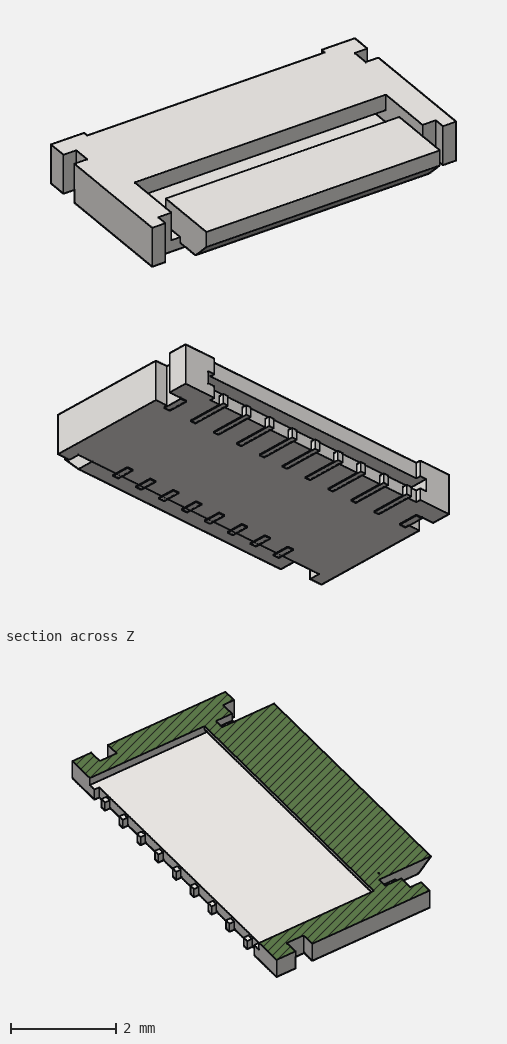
import cadquery as cq


body_length = 3.53
body_width = 6.9
top_z = 0.9
solder_standoff = 0.02

recess_depth = 0.11
recess_width = 5.39
slot_floor_z = 0.28
slot_top_z = 0.55

notch_start_x = 0.44
notch_end_x = 0.82
notch_depth = 0.29

pocket_start_x = 2.0
pocket_width = 5.7
mouth_x = 3.28
mouth_width = 6.3

rod_radius = 0.14
rod_x = 2.775
rod_seating = 0.005
lever_end_x = 4.19
lever_width = 5.3
lever_bottom_z = 0.15
lever_top_z = 0.88
lever_tip_z = 0.54
lever_bevel_x = 3.81

pitch = 0.6
tail_count = 9
tail_width = 0.12
tail_top_z = 0.21
tail_end_x = 0.9
foot_count = tail_count - 1
foot_width = 0.14
foot_start_x = 2.96
foot_end_x = 3.36
hold_down_width = 0.15
hold_down_y = body_width / 2 - notch_depth - hold_down_width / 2


def block(x_range, z_range, width, center_y=0):
    """Box spanning the X and Z ranges, centred on center_y."""
    x_start, x_end = x_range
    z_start, z_end = z_range
    return (
        cq.Workplane("XY")
        .box(x_end - x_start, width, z_end - z_start, centered=(False, True, False))
        .translate((x_start, center_y, z_start))
    )


def row_positions(count):
    """Y positions of a centred row at the contact pitch."""
    return [(i - (count - 1) / 2) * pitch for i in range(count)]


def make_housing():
    full_height = (solder_standoff, top_z)
    housing = block((0, body_length), full_height, body_width)
    housing = housing.cut(block((0, recess_depth), full_height, recess_width))
    housing = housing.cut(block((mouth_x, body_length), full_height, mouth_width))
    for side in (-1, 1):
        notch_y = side * (body_width - notch_depth) / 2
        housing = housing.cut(block((notch_start_x, notch_end_x), full_height, notch_depth, notch_y))
    housing = housing.cut(block((0, pocket_start_x), (slot_floor_z, slot_top_z), pocket_width))
    return housing.cut(block((pocket_start_x, mouth_x), (slot_floor_z, top_z), pocket_width))


def make_lever():
    profile = [
        (rod_x, slot_floor_z),
        (mouth_x, slot_floor_z),
        (mouth_x, lever_bottom_z),
        (lever_bevel_x, lever_bottom_z),
        (lever_end_x, lever_tip_z),
        (lever_end_x, lever_top_z),
        (rod_x, lever_top_z),
    ]
    return cq.Workplane("XZ").polyline(profile).close().extrude(lever_width / 2, both=True)


def make_rod():
    rod_z = slot_floor_z + rod_radius - rod_seating
    return (
        cq.Workplane("XZ")
        .center(rod_x, rod_z)
        .circle(rod_radius)
        .extrude(pocket_width / 2, both=True)
    )


def add_contacts(part):
    for y in row_positions(tail_count):
        part = part.union(block((0, recess_depth), (0, tail_top_z), tail_width, y))
        part = part.union(block((0, tail_end_x), (0, solder_standoff), tail_width, y))
    for y in row_positions(foot_count):
        part = part.union(block((foot_start_x, foot_end_x), (0, solder_standoff), foot_width, y))
    return part


def add_hold_downs(part):
    for side in (-1, 1):
        center_y = side * hold_down_y
        foot = block((notch_start_x, tail_end_x), (0, solder_standoff), hold_down_width, center_y)
        part = part.union(foot)
    return part


connector = make_housing().union(make_lever()).union(make_rod())
connector = add_contacts(connector)
result = add_hold_downs(connector)